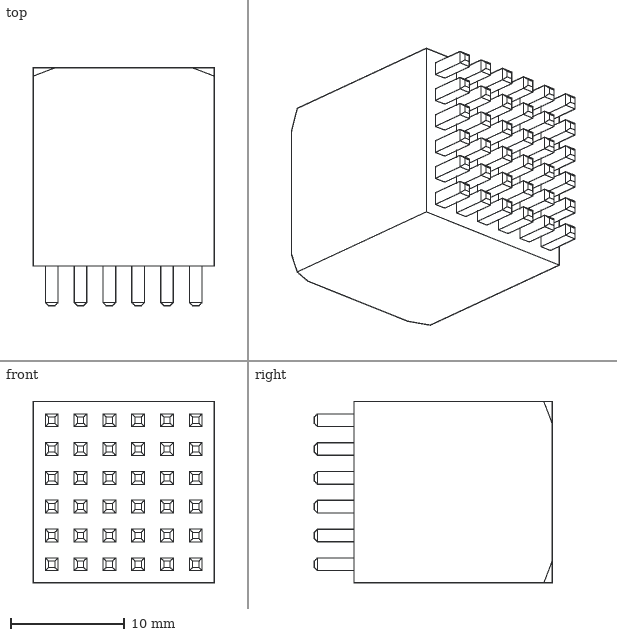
import cadquery as cq
import math

overall_length = 21
body_side = 16.0
body_length = 17.5
pins_per_side = 6
pin_pitch = 2.55
pin_side = 1.13
tip_side = 0.55
tip_angle = 45

rear_radius = 10.0
chamfer_angle = 30

pin_length = overall_length - body_length
rear_y = overall_length / 2
body_front_y = rear_y - body_length
tip_length = (pin_side - tip_side) / 2 / math.tan(math.radians(tip_angle))


def make_body():
    """Square block with its rear corners trimmed by a cone about the Y axis."""
    block = cq.Workplane("XY").box(body_side, body_length, body_side)
    block = block.translate((0, rear_y - body_length / 2, 0))
    outer_radius = body_side
    chamfer_depth = (outer_radius - rear_radius) * math.tan(math.radians(chamfer_angle))
    envelope = (
        cq.Workplane("XY")
        .moveTo(0, body_front_y)
        .lineTo(outer_radius, body_front_y)
        .lineTo(outer_radius, rear_y - chamfer_depth)
        .lineTo(rear_radius, rear_y)
        .lineTo(0, rear_y)
        .close()
        .revolve(360, (0, 0, 0), (0, 1, 0))
    )
    return block.intersect(envelope)


def make_pins():
    """Square grid of square pins with tapered tips."""
    shank_length = pin_length - tip_length
    grid = (pin_pitch, pin_pitch, pins_per_side, pins_per_side)
    shanks = (
        cq.Workplane("XZ", origin=(0, body_front_y, 0))
        .rarray(*grid)
        .rect(pin_side, pin_side)
        .extrude(shank_length)
    )
    tips = (
        cq.Workplane("XZ", origin=(0, body_front_y - shank_length, 0))
        .rarray(*grid)
        .rect(pin_side, pin_side)
        .extrude(tip_length, taper=tip_angle)
    )
    return shanks.union(tips)


result = make_body().union(make_pins())